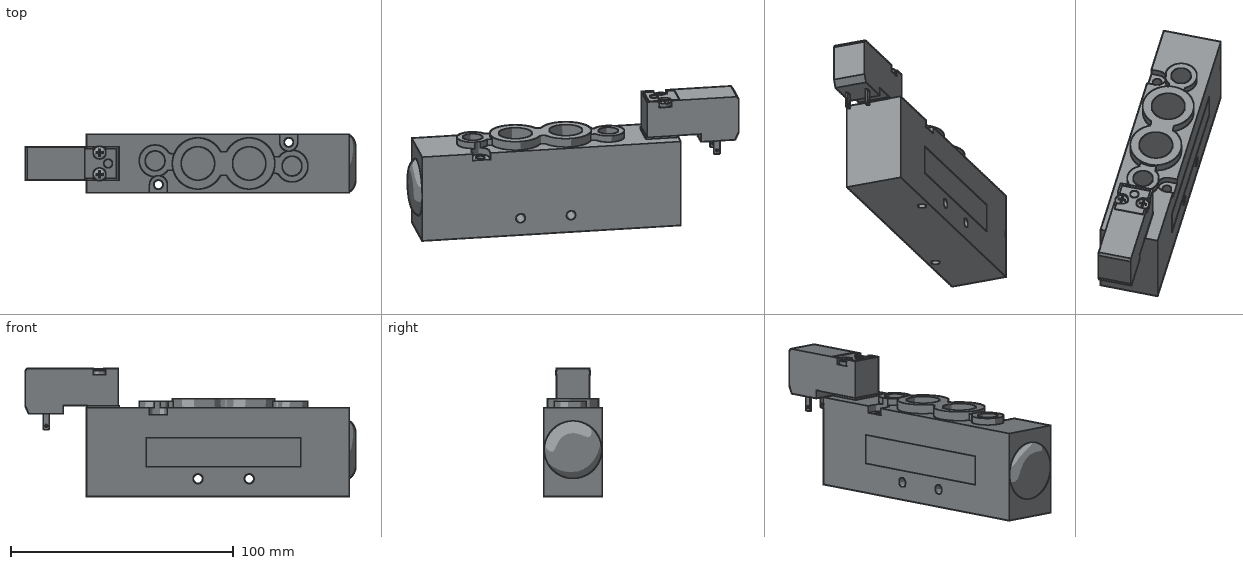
import cadquery as cq
import math


BLOCK_LENGTH = 118.1
BLOCK_WIDTH = 26.5
BLOCK_HEIGHT = 40.0
PORT_MIDDLE_X = 61.7

PORT_SPACING = 23.0
PORT_DIAMETER = 15.0
PORT_RIM_HEIGHT = 4.0
PORT_NECK_WIDTH = 10.4
PORT_NECK_LENGTH = 8.9
PORT_NECK_FILLET = 0.7

PILOT_OFFSET_X = 30.8
PILOT_OFFSET_Y = 1.2
PILOT_DIAMETER = 8.9
PILOT_RIM_DIAMETER = 14.3
PILOT_RIM_HEIGHT = 3.0
PILOT_NECK_OFFSET_Y = 0.7
PILOT_NECK_WIDTH = 7.5
PILOT_NECK_FILLET = 1.8
PORT_FLOOR_Z = BLOCK_HEIGHT / 2

MOUNT_OFFSET_X = 29.3
MOUNT_OFFSET_Y = 9.5
MOUNT_RECESS_WIDTH = 8.0
MOUNT_RECESS_DEPTH = 3.1
MOUNT_HOLE_DIAMETER = 4.0
CROSS_HOLE_DIAMETER = 4.2
CROSS_HOLE_Z = 8.0

LABEL_LENGTH = 69.5
LABEL_HEIGHT = 13.1
LABEL_DEPTH = 0.07

CAP_RADIUS = 13.0
CAP_FLAT_RADIUS = 7.5
CAP_DEPTH = 3.0
CAP_CENTER_Z = 21.1

GASKET_LEFT = 0.3
GASKET_RIGHT = 14.9
GASKET_THICKNESS = 0.9

SOLENOID_OVERHANG = 27.5
SOLENOID_RIGHT = 14.4
SOLENOID_WIDTH = 15.0
SOLENOID_TOP = 57.7
SOLENOID_BOTTOM = BLOCK_HEIGHT + GASKET_THICKNESS
FOOT_BOTTOM = 37.2
FOOT_RIGHT = -10.3
TOP_CHAMFER_X = 0.9
TOP_CHAMFER_Z = 1.2
FOOT_CHAMFER_X = 1.6
FOOT_CHAMFER_Z = 3.4

PANEL_LEFT = -0.6
PANEL_RIGHT = 13.4
PANEL_WIDTH = 13.1
PANEL_DEPTH = 0.3
BUTTON_X = 9.8
BUTTON_DIAMETER = 3.9

SCREW_X = 6.0
SCREW_OFFSET_Y = 4.9
SCREW_DIAMETER = 5.8
SCREW_SEAT_Z = 54.7
SCREW_RIM_Z = 56.5
SCREW_CROWN_HEIGHT = 0.6
SCREW_CROSS_LENGTH = 3.1
SCREW_CROSS_WIDTH = 0.6
SCREW_CROSS_DEPTH = 0.7

PIN_X = -18.0
PIN_OFFSET_Y = 4.8
PIN_WIDTH = 2.8
PIN_THICKNESS = 0.9
PIN_BOTTOM = 30.0
PIN_CHAMFER = 0.5
PIN_HOLE_DIAMETER = 1.0
PIN_HOLE_Z = 31.8


def box_between(x_range, y_range, z_range):
    """Axis-aligned box given by its limits along X, Y and Z."""
    sizes = [high - low for low, high in (x_range, y_range, z_range)]
    corner = (x_range[0], y_range[0], z_range[0])
    return cq.Workplane("XY").box(*sizes, centered=False).translate(corner)


def upright_cylinder(x, y, diameter, bottom, top):
    """Cylinder along Z between two heights."""
    return cq.Workplane("XY", origin=(x, y, bottom)).circle(diameter / 2).extrude(top - bottom)


def slot_to_side(x, y, width, side, wall_y, bottom, top):
    """Round-ended slot cutter that opens through the wall at side * wall_y."""
    round_end = upright_cylinder(x, y, width, bottom, top)
    y_range = sorted((y, side * wall_y))
    run_out = box_between((x - width / 2, x + width / 2), y_range, (bottom, top))
    return round_end.union(run_out)


def round_corner(body, corner, radius):
    """Fillet the upright edge that passes nearest to the given point."""
    return body.edges("|Z").edges(cq.NearestToPointSelector(corner)).fillet(radius)


def end_cap():
    """Dished cap on the far end: a flat face with a rounded edge that meets it smoothly."""
    drop = CAP_RADIUS - CAP_FLAT_RADIUS
    edge_radius = (drop**2 + CAP_DEPTH**2) / (2 * CAP_DEPTH)
    half_angle = math.asin(drop / edge_radius) / 2
    arc_middle = (
        CAP_DEPTH - edge_radius * (1 - math.cos(half_angle)),
        CAP_FLAT_RADIUS + edge_radius * math.sin(half_angle),
    )
    return (
        cq.Workplane("XY", origin=(BLOCK_LENGTH, 0, CAP_CENTER_Z))
        .lineTo(CAP_DEPTH, 0)
        .lineTo(CAP_DEPTH, CAP_FLAT_RADIUS)
        .threePointArc(arc_middle, (0, CAP_RADIUS))
        .close()
        .revolve(360, (0, 0, 0), (1, 0, 0))
    )


def port_rims():
    """Two touching port rims, joined by a neck with rounded corners."""
    top = BLOCK_HEIGHT + PORT_RIM_HEIGHT
    neck = box_between(
        (PORT_MIDDLE_X - PORT_NECK_LENGTH / 2, PORT_MIDDLE_X + PORT_NECK_LENGTH / 2),
        (-PORT_NECK_WIDTH / 2, PORT_NECK_WIDTH / 2),
        (BLOCK_HEIGHT, top),
    )
    rims = neck
    for end in (-1, 1):
        port_x = PORT_MIDDLE_X + end * PORT_SPACING / 2
        rims = rims.union(upright_cylinder(port_x, 0, PORT_SPACING, BLOCK_HEIGHT, top))

    corner_x = PORT_SPACING / 2 - math.sqrt((PORT_SPACING / 2) ** 2 - (PORT_NECK_WIDTH / 2) ** 2)
    middle_z = (BLOCK_HEIGHT + top) / 2
    for end in (-1, 1):
        for side in (-1, 1):
            corner = (PORT_MIDDLE_X + end * corner_x, side * PORT_NECK_WIDTH / 2, middle_z)
            rims = round_corner(rims, corner, PORT_NECK_FILLET)
    return rims


def pilot_rim(end):
    """Low rim of one pilot port, with the neck that reaches to the port rim beside it."""
    top = BLOCK_HEIGHT + PILOT_RIM_HEIGHT
    port_x = PORT_MIDDLE_X + end * PORT_SPACING / 2
    pilot_x = PORT_MIDDLE_X + end * PILOT_OFFSET_X
    pilot_y = -end * PILOT_OFFSET_Y
    neck_y = -end * PILOT_NECK_OFFSET_Y
    neck = box_between(
        sorted((port_x, pilot_x)),
        (neck_y - PILOT_NECK_WIDTH / 2, neck_y + PILOT_NECK_WIDTH / 2),
        (BLOCK_HEIGHT, top),
    )
    rim = upright_cylinder(pilot_x, pilot_y, PILOT_RIM_DIAMETER, BLOCK_HEIGHT, top).union(neck)

    wall_y = neck_y - end * PILOT_NECK_WIDTH / 2
    reach = math.sqrt((PILOT_RIM_DIAMETER / 2) ** 2 - (wall_y - pilot_y) ** 2)
    corner = (pilot_x - end * reach, wall_y, (BLOCK_HEIGHT + top) / 2)
    return round_corner(rim, corner, PILOT_NECK_FILLET)


def end_openings(end):
    """Cutter for one end's blind ports, cross hole and mounting hole with its open-sided recess."""
    port_x = PORT_MIDDLE_X + end * PORT_SPACING / 2
    pilot_x = PORT_MIDDLE_X + end * PILOT_OFFSET_X
    pilot_y = -end * PILOT_OFFSET_Y
    mount_x = PORT_MIDDLE_X + end * MOUNT_OFFSET_X
    mount_y = end * MOUNT_OFFSET_Y
    port_rim_top = BLOCK_HEIGHT + PORT_RIM_HEIGHT
    pilot_rim_top = BLOCK_HEIGHT + PILOT_RIM_HEIGHT

    port = upright_cylinder(port_x, 0, PORT_DIAMETER, PORT_FLOOR_Z, port_rim_top)
    pilot = upright_cylinder(pilot_x, pilot_y, PILOT_DIAMETER, PORT_FLOOR_Z, pilot_rim_top)
    cross_hole = (
        cq.Workplane("XZ", origin=(port_x, 0, CROSS_HOLE_Z))
        .circle(CROSS_HOLE_DIAMETER / 2)
        .extrude(BLOCK_WIDTH / 2, both=True)
    )
    mount_hole = upright_cylinder(mount_x, mount_y, MOUNT_HOLE_DIAMETER, 0, BLOCK_HEIGHT)
    recess_floor = BLOCK_HEIGHT - MOUNT_RECESS_DEPTH
    recess = slot_to_side(
        mount_x, mount_y, MOUNT_RECESS_WIDTH, end, BLOCK_WIDTH / 2, recess_floor, pilot_rim_top
    )
    return port.union(pilot).union(cross_hole).union(mount_hole).union(recess)


def label_field():
    """Cutter for the shallow label field on the front wall."""
    return box_between(
        (PORT_MIDDLE_X - LABEL_LENGTH / 2, PORT_MIDDLE_X + LABEL_LENGTH / 2),
        (-BLOCK_WIDTH / 2, -BLOCK_WIDTH / 2 + LABEL_DEPTH),
        ((BLOCK_HEIGHT - LABEL_HEIGHT) / 2, (BLOCK_HEIGHT + LABEL_HEIGHT) / 2),
    )


def make_housing():
    """Valve block; its two ends repeat the same features half a turn apart."""
    block = box_between((0, BLOCK_LENGTH), (-BLOCK_WIDTH / 2, BLOCK_WIDTH / 2), (0, BLOCK_HEIGHT))
    body = block.union(end_cap()).union(port_rims())
    for end in (-1, 1):
        body = body.union(pilot_rim(end)).cut(end_openings(end))
    return body.cut(label_field())


def make_gasket():
    return box_between(
        (GASKET_LEFT, GASKET_RIGHT),
        (-SOLENOID_WIDTH / 2, SOLENOID_WIDTH / 2),
        (BLOCK_HEIGHT, SOLENOID_BOTTOM),
    )


def solenoid_case():
    """Side outline of the case with the connector foot, extruded across its width."""
    left = -SOLENOID_OVERHANG
    outline = [
        (left + FOOT_CHAMFER_X, FOOT_BOTTOM),
        (FOOT_RIGHT, FOOT_BOTTOM),
        (FOOT_RIGHT, SOLENOID_BOTTOM),
        (SOLENOID_RIGHT, SOLENOID_BOTTOM),
        (SOLENOID_RIGHT, SOLENOID_TOP),
        (left + TOP_CHAMFER_X, SOLENOID_TOP),
        (left, SOLENOID_TOP - TOP_CHAMFER_Z),
        (left, FOOT_BOTTOM + FOOT_CHAMFER_Z),
    ]
    return cq.Workplane("XZ").polyline(outline).close().extrude(SOLENOID_WIDTH / 2, both=True)


def screw_head(y):
    """Domed screw head with a cross recess."""
    radius = SCREW_DIAMETER / 2
    crown_z = SCREW_RIM_Z + SCREW_CROWN_HEIGHT
    sphere_radius = (radius**2 + SCREW_CROWN_HEIGHT**2) / (2 * SCREW_CROWN_HEIGHT)
    sphere = cq.Workplane("XY", origin=(SCREW_X, y, crown_z - sphere_radius)).sphere(sphere_radius)
    head = upright_cylinder(SCREW_X, y, SCREW_DIAMETER, SCREW_SEAT_Z, crown_z).intersect(sphere)
    top_plane = cq.Workplane("XY", origin=(SCREW_X, y, crown_z))
    for size in ((SCREW_CROSS_LENGTH, SCREW_CROSS_WIDTH), (SCREW_CROSS_WIDTH, SCREW_CROSS_LENGTH)):
        head = head.cut(top_plane.rect(*size).extrude(-SCREW_CROSS_DEPTH))
    return head


def contact_pin(y):
    """Flat contact blade with chamfered tip corners and a small hole."""
    blade = box_between(
        (PIN_X - PIN_WIDTH / 2, PIN_X + PIN_WIDTH / 2),
        (y - PIN_THICKNESS / 2, y + PIN_THICKNESS / 2),
        (PIN_BOTTOM, FOOT_BOTTOM),
    )
    blade = blade.faces("<Z").edges("|Y").chamfer(PIN_CHAMFER)
    hole = (
        cq.Workplane("XZ", origin=(PIN_X, y, PIN_HOLE_Z))
        .circle(PIN_HOLE_DIAMETER / 2)
        .extrude(PIN_THICKNESS / 2, both=True)
    )
    return blade.cut(hole)


def make_solenoid():
    solenoid = solenoid_case()

    panel_z = (SOLENOID_TOP - PANEL_DEPTH, SOLENOID_TOP)
    panel = box_between((PANEL_LEFT, PANEL_RIGHT), (-PANEL_WIDTH / 2, PANEL_WIDTH / 2), panel_z)
    solenoid = solenoid.cut(panel.cut(upright_cylinder(BUTTON_X, 0, BUTTON_DIAMETER, *panel_z)))

    for side in (-1, 1):
        screw_y = side * SCREW_OFFSET_Y
        seat = slot_to_side(
            SCREW_X, screw_y, SCREW_DIAMETER, side, SOLENOID_WIDTH / 2, SCREW_SEAT_Z, SOLENOID_TOP
        )
        solenoid = solenoid.cut(seat)
        solenoid = solenoid.union(screw_head(screw_y))
        solenoid = solenoid.union(contact_pin(side * PIN_OFFSET_Y))
    return solenoid


housing = make_housing()
gasket = make_gasket()
solenoid = make_solenoid()

result = cq.Compound.makeCompound([housing.val(), gasket.val(), solenoid.val()])